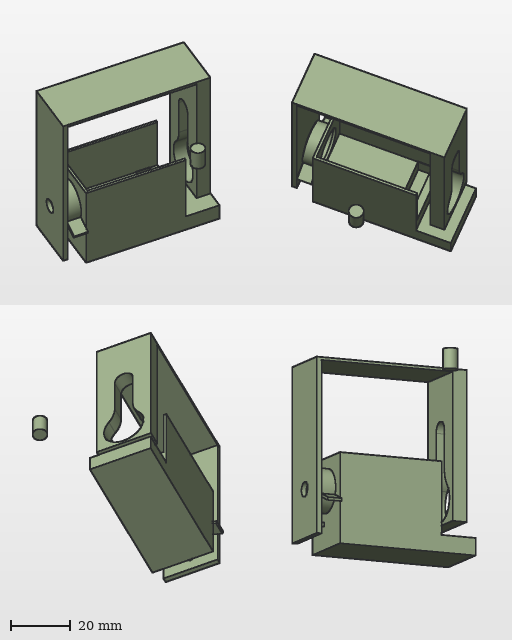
import cadquery as cq
import math


wall = 1.0
clearance = 0.2
tray_length = 50.0
tray_height = 31.2
wall_length = 37.4
tongue_height = 6.0
floor_height = 12.0

cover_width = 20.0
cover_length = 55.2
cover_top = 63.4
cover_front_y = -8.0
top_thickness = 1.0
front_leg_thickness = 1.8
front_leg_height = 60.3
back_leg_thickness = 5.2
back_leg_height = 52.0

keyhole_slot_width = 6.6
keyhole_slot_top_z = 47.1
keyhole_circle_diameter = 14.6
keyhole_blend_radius = 9.0

axis_z = 19.8
sight_hole_diameter = 5.0

stop_diameter = 1.5
stop_length = 5.2
stop_z = 8.3

dial_bore_diameter = 14.0
dial_wall = 0.6
dial_length = 5.2
lever_tip = 13.5
lever_thickness = 1.0
lever_droop = 22.5

pin_diameter = 5.0
pin_length = 7.0
pin_x = 40.0
pin_y = 27.5

groove_width = 20.8
groove_y = 32.0

tray_inner_width = cover_width + 2 * clearance
tray_width = tray_inner_width + 2 * wall
cover_back_y = cover_front_y + cover_length
dial_diameter = dial_bore_diameter + 2 * dial_wall


def box(width, y_start, y_end, z_start, z_end):
    """Block centred on X = 0 between the given Y and Z limits."""
    block = cq.Workplane("XY").box(width, y_end - y_start, z_end - z_start, centered=(True, False, False))
    return block.translate((0, y_start, z_start))


def rod(diameter, y_start, y_end, z):
    """Cylinder along Y, centred on X = 0."""
    plane = cq.Workplane("XZ", origin=(0, y_start, z))
    return plane.circle(diameter / 2).extrude(y_start - y_end)


def make_tray():
    """Open-topped, open-backed tray with a raised floor and a tongue at the back."""
    tray = box(tray_width, 0, wall_length, 0, tray_height)
    tongue = box(tray_width, wall_length, tray_length, 0, tongue_height)
    cavity = box(tray_inner_width, wall, wall_length, floor_height, tray_height)
    groove_front_y = groove_y - back_leg_thickness / 2
    groove_back_y = groove_y + back_leg_thickness / 2
    groove = box(groove_width, groove_front_y, groove_back_y, tongue_height, floor_height)
    bore = rod(dial_bore_diameter, 0, wall, axis_z)
    return tray.union(tongue).cut(cavity).cut(groove).cut(bore)


def make_keyhole():
    """Cutter for the keyhole: a slot that blends through two arcs into a round opening below it."""
    slot_radius = keyhole_slot_width / 2
    circle_radius = keyhole_circle_diameter / 2
    blend_x = slot_radius + keyhole_blend_radius
    centre_distance = circle_radius + keyhole_blend_radius
    blend_z = axis_z + math.sqrt(centre_distance**2 - blend_x**2)
    slope = math.acos(blend_x / centre_distance)
    meet_x = circle_radius * math.cos(slope)
    meet_z = axis_z + circle_radius * math.sin(slope)
    blend_mid_x = blend_x - keyhole_blend_radius * math.cos(slope / 2)
    blend_mid_z = blend_z - keyhole_blend_radius * math.sin(slope / 2)
    slot_arc_z = keyhole_slot_top_z - slot_radius

    outline = (
        cq.Workplane("XZ", origin=(0, cover_back_y, 0))
        .moveTo(-slot_radius, slot_arc_z)
        .threePointArc((0, keyhole_slot_top_z), (slot_radius, slot_arc_z))
        .lineTo(slot_radius, blend_z)
        .threePointArc((blend_mid_x, blend_mid_z), (meet_x, meet_z))
        .threePointArc((0, axis_z - circle_radius), (-meet_x, meet_z))
        .threePointArc((-blend_mid_x, blend_mid_z), (-slot_radius, blend_z))
        .close()
    )
    return outline.extrude(back_leg_thickness)


def make_cover():
    """U-shaped cover with a sight hole and stop pin at the front and a keyhole at the back."""
    front_inner_y = cover_front_y + front_leg_thickness
    top = box(cover_width, cover_front_y, cover_back_y, cover_top - top_thickness, cover_top)
    front_leg = box(cover_width, cover_front_y, front_inner_y, cover_top - front_leg_height, cover_top)
    back_inner_y = cover_back_y - back_leg_thickness
    back_leg = box(cover_width, back_inner_y, cover_back_y, cover_top - back_leg_height, cover_top)
    stop = rod(stop_diameter, front_inner_y, front_inner_y + stop_length, stop_z)
    sight_hole = rod(sight_hole_diameter, cover_front_y, front_inner_y, axis_z)
    return top.union(front_leg).union(back_leg).union(stop).cut(sight_hole).cut(make_keyhole())


def make_dial():
    """Ring against the tray's front wall with a drooping lever on each side."""
    dial = rod(dial_diameter, -dial_length, 0, axis_z)
    for side in (-1, 1):
        lever = cq.Workplane("XY").box(lever_tip, dial_length, lever_thickness)
        lever = lever.translate((side * lever_tip / 2, -dial_length / 2, 0))
        lever = lever.rotate((0, 0, 0), (0, 1, 0), side * lever_droop)
        dial = dial.union(lever.translate((0, 0, axis_z)))
    return dial.cut(rod(dial_bore_diameter, -dial_length, 0, axis_z))


def make_pin():
    """Loose pin standing beside the cover, level with its top."""
    plane = cq.Workplane("XY", origin=(pin_x, pin_y, cover_top - pin_length))
    return plane.circle(pin_diameter / 2).extrude(pin_length)


tray = make_tray()
cover = make_cover()
dial = make_dial()
pin = make_pin()

result = cq.Compound.makeCompound([tray.val(), cover.val(), dial.val(), pin.val()])